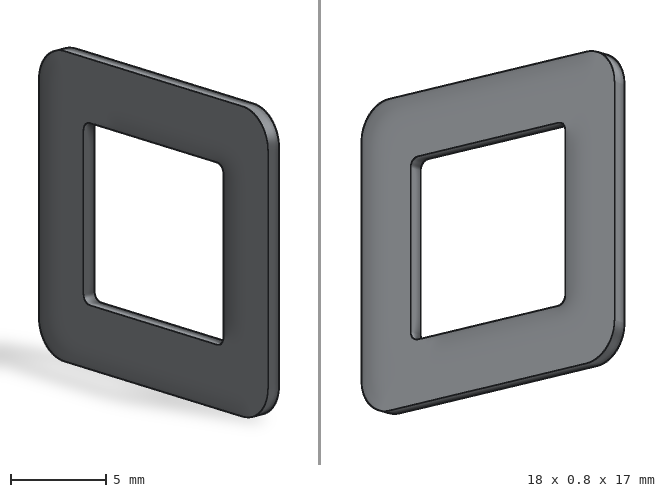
import cadquery as cq

width = 18.0
height = 17.0
thickness = 0.8
border = 3.51
outer_radius = 2.0
window_radius = 0.5

window_width = width - 2 * border
window_height = height - 2 * border


def rounded_plate(size_x, size_z, corner_radius):
    """Plate centred on the origin, with its four corners rounded along Y."""
    return cq.Workplane("XY").box(size_x, thickness, size_z).edges("|Y").fillet(corner_radius)


frame = rounded_plate(width, height, outer_radius)
window = rounded_plate(window_width, window_height, window_radius)

result = frame.cut(window)